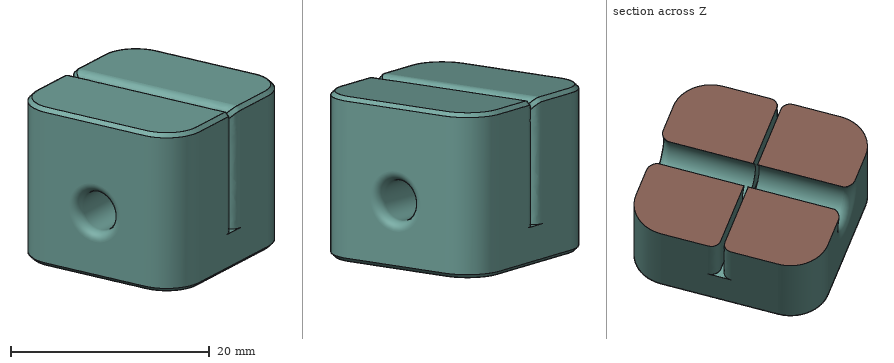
import cadquery as cq
import math

length_x = 20.0
width_y = 20.4
height = 17.0
corner_radius = 4.0
edge_chamfer = 0.4

hole_diameter = 4.2
hole_height = 7.0
mouth_radius = 1.0

slot_width = 0.4
slot_floor = 4.0
lip_radius = 1.0


def rounded_block():
    """Block with rounded vertical corners and chamfered top and bottom rims."""
    block = cq.Workplane("XY").box(length_x, width_y, height, centered=(True, True, False))
    block = block.edges("|Z").fillet(corner_radius)
    return block.faces("<Z or >Z").edges().chamfer(edge_chamfer)


def flare_cutter(start, outward, along, length, depth):
    """Funnel as wide as the slot at its bottom, opening with a curved lip on either side.

    It starts at a point on the surface and runs in the direction `along`.
    `outward` is the surface normal and `depth` is how far the lips reach inward.
    """
    lip_offset = slot_width / 2 + lip_radius
    plane = cq.Plane(origin=start, xDir=outward, normal=along)
    funnel = cq.Workplane(plane).center(-depth / 2, 0).rect(depth, 2 * lip_offset).extrude(length)
    lips = (
        cq.Workplane(plane)
        .pushPoints([(-depth, -lip_offset), (-depth, lip_offset)])
        .ellipse(depth, lip_radius)
        .extrude(length)
    )
    return funnel.cut(lips)


def cut_slot(body):
    """Cut the slot, then flare it along the top, down both ends and across the rim chamfers."""
    slot_depth = height - slot_floor
    slot = (
        cq.Workplane("XY", origin=(0, 0, slot_floor))
        .box(length_x, slot_width, slot_depth, centered=(True, True, False))
    )
    body = body.cut(slot)
    half_length = length_x / 2
    body = body.cut(flare_cutter((-half_length, 0, height), (0, 0, 1), (1, 0, 0), length_x, lip_radius))

    chamfer_flare_depth = lip_radius * math.sqrt(2)
    chamfer_flare_reach = 2 * lip_radius
    for side in (-1, 1):
        end = side * half_length
        body = body.cut(flare_cutter((end, 0, slot_floor), (side, 0, 0), (0, 0, 1), slot_depth, lip_radius))
        chamfer_flare_start = (
            end - side * (edge_chamfer / 2 - chamfer_flare_reach),
            0,
            height - edge_chamfer / 2 - chamfer_flare_reach,
        )
        chamfer_flare = flare_cutter(
            chamfer_flare_start,
            (side, 0, 1),
            (-side, 0, 1),
            2 * chamfer_flare_reach * math.sqrt(2),
            chamfer_flare_depth,
        )
        body = body.cut(chamfer_flare)
    return body


def cut_hole(body):
    """Drill the cross hole and round its mouths on the front and back faces."""
    hole = (
        cq.Workplane("XZ", origin=(0, width_y / 2, hole_height))
        .circle(hole_diameter / 2)
        .extrude(width_y)
    )
    body = body.cut(hole)
    return body.faces("<Y or >Y").edges("%CIRCLE").fillet(mouth_radius)


result = cut_slot(cut_hole(rounded_block()))